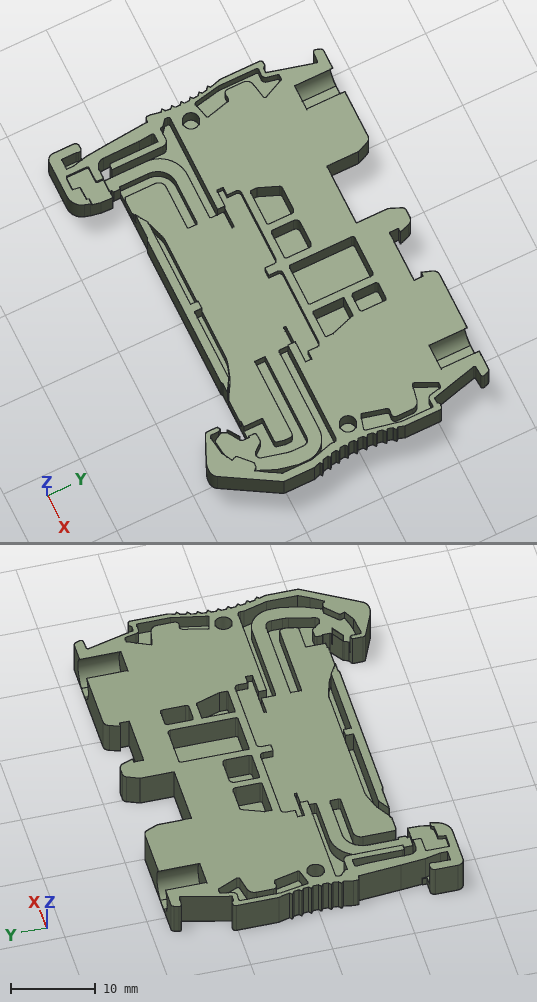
import cadquery as cq
import math


THICKNESS = 4.2
PLATE_TOP = 3.2
CHANNEL_FLOOR = 1.55
POCKET_FLOOR = 1.05
FOOT_FLOOR = 3.7
GRIP_POCKET_FLOOR = 2.55

TOP_Y = 29.1
FOOT_Y = -6.1
LEFT_X = -24.55
SIDE_X = 24.3
BASE_Y = 0.15

GRIP_MID_Y = 11.2
GRIP_RIGHT_X = 23.25
GRIP_LEFT_X = 23.45
GRIP_RADIUS = 17.6
TOOTH_PITCH = 1.2
TOOTH_WIDTH = 0.6
TOOTH_HEIGHT = 0.35
TOOTH_ROOT = 0.3

GROOVE_X = 18.07
GROOVE_LENGTH = 5.05
GROOVE_WIDTH = 3.2
GROOVE_FLOOR_WIDTH = 1.5
GROOVE_RADIUS = 2.4

PIN_X = 21.1
PIN_DIAMETER = 2.05

RECESS_TOP = 12.6
SHELF_Y = 10.1
CHANNEL_TOP = 9.15
ARM_EDGE = 8.0
SLIT_HEIGHT = 0.3
NOTCH_BOTTOM = 10.95

POST_RIGHT = -19.7
ARM_LEFT = -19.15
ARM_RIGHT = -17.7
FOOT_ROOT_Y = -1.2

BAR_HALF_FRONT = 9.85
BAR_SLANT = 0.25
BAR_BACK_Y = 1.07
GAP_BACK_Y = 2.05
PAD_SLANT = 0.2
OPEN_Y = -1.0


def outline(points):
    """Closed sketch through (x, y) corners; a third value rounds that corner with its radius."""
    stops = []
    count = len(points)
    for i, point in enumerate(points):
        corner = cq.Vector(point[0], point[1])
        radius = point[2] if len(point) > 2 else 0
        if not radius:
            stops.append((corner,))
            continue
        back = (cq.Vector(*points[i - 1][:2]) - corner).normalized()
        ahead = (cq.Vector(*points[(i + 1) % count][:2]) - corner).normalized()
        half_angle = back.getAngle(ahead) / 2
        setback = radius / math.tan(half_angle)
        bulge = radius / math.sin(half_angle) - radius
        middle = corner + (back + ahead).normalized() * bulge
        stops.append((corner + back * setback, middle, corner + ahead * setback))
    sketch = cq.Workplane("XY").moveTo(stops[0][-1].x, stops[0][-1].y)
    for stop in stops[1:] + stops[:1]:
        sketch = sketch.lineTo(stop[0].x, stop[0].y)
        if len(stop) == 3:
            sketch = sketch.threePointArc(stop[1].toTuple()[:2], stop[2].toTuple()[:2])
    return sketch.close()


def slab(points, bottom, top=THICKNESS):
    """Prism over an outline between two heights."""
    return outline(points).extrude(top - bottom).translate((0, 0, bottom))


def mirrored(points):
    """The same corners on the other side of X = 0."""
    return [(-point[0], *point[1:]) for point in reversed(points)]


def grip_hollow(side, middle_x):
    """Large cylinder whose flank leaves the hollow grip side."""
    center_x = middle_x + GRIP_RADIUS
    return cq.Workplane("XY").center(side * center_x, GRIP_MID_Y).circle(GRIP_RADIUS).extrude(THICKNESS)


def grip_teeth(side, middle_x, above, below):
    """Small ridges along a hollow grip side, `above` and `below` its middle and one on it."""
    half = TOOTH_WIDTH / 2
    teeth = cq.Workplane("XY")
    for step in range(-below, above + 1):
        offset = step * TOOTH_PITCH
        y = GRIP_MID_Y + offset
        x = middle_x + GRIP_RADIUS - math.sqrt(GRIP_RADIUS**2 - offset**2)
        root_x = x - TOOTH_ROOT
        tip_x = min(x + TOOTH_HEIGHT, SIDE_X)
        tooth = [(root_x, y - half), (x, y - half), (tip_x, y), (x, y + half), (root_x, y + half)]
        teeth = teeth.union(slab([(side * px, py) for px, py in tooth], 0))
    return teeth


upper_end = [
    (22.4, TOP_Y, 0.45),
    (22.8, 27.95, 0.3),
    (21.1, 27.85, 0.2),
    (22.65, 21.8),
    (23.3, 21.8),
    (23.6, 22.1),
    (SIDE_X, 22.05, 0.35),
]
top_notches = [
    (-9.75, TOP_Y, 0.75),
    (-9.0, 27.25),
    (-9.0, 23.1),
    (-1.07, 23.1),
    (-1.07, 27.25),
    (-0.3, TOP_Y, 0.6),
    (1.6, TOP_Y, 0.9),
    (2.25, 27.25),
    (1.7, 27.25),
    (1.7, 26.1),
    (8.35, 26.1),
    (8.35, 27.25),
    (7.8, 27.25),
    (8.45, TOP_Y, 0.9),
]
right_foot = [
    (SIDE_X, 1.2),
    (19.95, FOOT_Y, 1.2),
    (18.55, FOOT_Y, 1.95),
    (14.7, -4.4, 0.4),
    (14.7, -2.85),
    (15.25, -2.55),
    (15.55, -1.9, 0.4),
    (17.2, -0.8),
    (17.2, BASE_Y),
]
rail_face = [
    (BAR_HALF_FRONT + BAR_SLANT, BASE_Y),
    (BAR_HALF_FRONT, 0),
    (-BAR_HALF_FRONT, 0),
    (-BAR_HALF_FRONT - BAR_SLANT, BASE_Y),
]
left_foot = [
    (-17.4, BASE_Y),
    (-17.4, -0.75),
    (-17.7, -0.95),
    (-17.7, FOOT_ROOT_Y),
    (-16.65, FOOT_ROOT_Y),
    (-16.7, -2.75),
    (-16.95, -4.0),
    (-17.6, FOOT_Y, 1.95),
    (LEFT_X, FOOT_Y, 0.9),
    (LEFT_X, -2.0, 0.55),
    (-23.25, -2.0, 0.35),
    (-23.45, -2.75),
    (-23.45, -4.65),
    (-22.1, -4.65),
    (-22.1, -3.75),
    (-22.5, -1.85),
    (-22.8, 1.2),
    (-23.25, 6.55),
    (-23.9, 6.55, 0.3),
    (-23.9, 8.8),
    (-SIDE_X, 8.8),
]
silhouette = mirrored(upper_end) + top_notches + upper_end + right_foot + rail_face + left_foot

housing = slab(silhouette, 0)
housing = housing.cut(grip_hollow(1, GRIP_RIGHT_X)).cut(grip_hollow(-1, GRIP_LEFT_X))
housing = housing.union(grip_teeth(1, GRIP_RIGHT_X, 4, 4))
housing = housing.union(grip_teeth(-1, GRIP_LEFT_X, 3, 2))

arm_slot = [
    (-21.65, 6.55, 0.25),
    (-20.45, 6.55),
    (-20.45, BASE_Y, 0.25),
    (ARM_LEFT, BASE_Y),
    (ARM_LEFT, FOOT_ROOT_Y),
    (-21.4, FOOT_ROOT_Y, 1.07),
    (-21.5, 4.65),
]
housing = housing.cut(slab(arm_slot, 0))

curl_web = [(-23.85, -2.0), (-22.65, -2.0), (-22.65, -1.4), (-22.0, -1.4), (-22.0, -4.9), (-23.85, -4.9)]
housing = housing.union(slab(curl_web, 0, POCKET_FLOOR))

bar = outline([
    (-13.45, OPEN_Y),
    (-13.45, BASE_Y),
    (-11.9, BAR_BACK_Y),
    (-0.5, BAR_BACK_Y),
    (-0.5, GAP_BACK_Y),
    (0.55, GAP_BACK_Y),
    (0.55, BAR_BACK_Y),
    (9.75, BAR_BACK_Y),
    (11.3, BASE_Y),
    (11.3, OPEN_Y),
]).extrude(THICKNESS)

left_channel_wall = [
    (POST_RIGHT, 7.5, 0.7),
    (-21.85, 7.5),
    (-21.95, 7.9),
    (-22.65, 8.5, 0.15),
    (-22.65, CHANNEL_TOP, 0.25),
    (-9.75, CHANNEL_TOP),
    (-9.75, SHELF_Y),
]
right_channel_wall = [
    (9.15, SHELF_Y),
    (9.15, CHANNEL_TOP),
    (22.4, CHANNEL_TOP, 0.4),
    (22.4, 8.3),
    (23.25, 5.35),
    (23.25, 1.55),
    (22.5, 0.25),
    (21.55, -1.25),
]
hook_wall = [
    (14.9, -2.35),
    (15.3, -2.95),
    (15.3, -4.15, 0.3),
    (17.85, -3.8),
    (19.2, -3.1),
]

plate_recess = [
    (-10.9, RECESS_TOP, 0.5),
    (-10.9, NOTCH_BOTTOM),
    (-11.95, NOTCH_BOTTOM),
    (-11.95, SHELF_Y),
    *left_channel_wall[::-1],
    (POST_RIGHT, OPEN_Y),
    (ARM_LEFT, OPEN_Y),
    (ARM_LEFT, FOOT_ROOT_Y),
    (ARM_RIGHT, FOOT_ROOT_Y),
    (ARM_RIGHT, OPEN_Y),
    (17.05, OPEN_Y),
    *hook_wall,
    (18.95, -2.45, 0.2),
    (20.6, -0.9, 0.2),
    (21.2, -0.95),
    *right_channel_wall[::-1],
    (11.9, SHELF_Y),
    (11.9, NOTCH_BOTTOM),
    (10.85, NOTCH_BOTTOM),
    (10.85, RECESS_TOP, 0.5),
    (0.3, RECESS_TOP, 0.5),
    (0.3, NOTCH_BOTTOM),
    (-0.75, NOTCH_BOTTOM),
    (-0.75, RECESS_TOP, 0.5),
]
housing = housing.cut(slab(plate_recess, PLATE_TOP).cut(bar))

left_outer_channel = [
    (-7.3, SHELF_Y),
    (-7.3, SHELF_Y - SLIT_HEIGHT),
    (-9.5, SHELF_Y - SLIT_HEIGHT),
    (-9.5, ARM_EDGE, 0.2),
    (ARM_LEFT, ARM_EDGE, 3.65),
    (ARM_LEFT, OPEN_Y),
    (POST_RIGHT, OPEN_Y),
    *left_channel_wall,
]
left_inner_channel = [
    (ARM_RIGHT, BASE_Y),
    (ARM_RIGHT, 6.4, 2.45),
    (-9.5, 6.4, 0.2),
    (-9.5, 5.1, 0.2),
    (-16.2, 5.1, 1.0),
    (-16.2, BASE_Y),
]
right_outer_channel = [
    (6.6, SHELF_Y),
    *right_channel_wall,
    (21.35, -0.8),
    (22.3, 1.35),
    (22.8, 3.9),
    (22.8, ARM_EDGE, 2.95),
    (8.95, ARM_EDGE, 0.2),
    (8.95, SHELF_Y - SLIT_HEIGHT),
    (6.6, SHELF_Y - SLIT_HEIGHT),
]
right_inner_channel = [
    (8.95, 6.25),
    (20.95, 6.25, 0.9),
    (20.95, 3.65, 2.95),
    (20.05, -0.1, 0.5),
    (19.25, -0.1, 0.5),
    (18.25, 1.1, 0.4),
    (17.05, 1.07, 0.25),
    (17.05, OPEN_Y),
    (15.75, OPEN_Y),
    (15.75, 2.6, 0.15),
    (19.1, 2.6, 0.3),
    (19.35, 3.75),
    (19.35, 4.9, 0.4),
    (8.95, 4.9),
]
hook_gap = [
    *hook_wall,
    (17.6, -3.5),
    (15.85, -3.7, 0.4),
    (15.2, -2.55),
]
rail_gap = [
    (-13.8, OPEN_Y),
    (-13.8, BASE_Y),
    (-11.8, 1.3),
    (-9.57, GAP_BACK_Y, 2.95),
    (7.43, GAP_BACK_Y, 2.95),
    (9.65, 1.3),
    (11.65, BASE_Y),
    (11.65, OPEN_Y),
]
for channel in (left_outer_channel, left_inner_channel, right_outer_channel, right_inner_channel, hook_gap):
    housing = housing.cut(slab(channel, CHANNEL_FLOOR))
housing = housing.cut(slab(rail_gap, CHANNEL_FLOOR).cut(bar))

for left, right in ((-16.1, -13.85), (11.7, 15.05)):
    pad = [(left, BASE_Y), (left + PAD_SLANT, 0), (right - PAD_SLANT, 0), (right, BASE_Y)]
    housing = housing.union(slab(pad, CHANNEL_FLOOR, PLATE_TOP))

foot_recess = [
    (ARM_LEFT, FOOT_ROOT_Y),
    (ARM_LEFT, -2.2, 0.25),
    (-21.3, -2.2, 0.2),
    (-21.3, -5.15, 0.15),
    (-19.5, -5.15),
    (-19.35, -4.2),
    (-17.7, -4.15),
    (-17.55, -3.85),
    (-16.1, -3.85),
    (-16.1, FOOT_ROOT_Y),
]
housing = housing.cut(slab(foot_recess, FOOT_FLOOR))

square_pockets = [
    [(-9.1, 17.2, 0.35), (-5.45, 17.2, 0.45), (-5.45, 13.6, 0.25), (-10.15, 13.6, 0.15), (-10.15, 14.5)],
    [(-4.6, 17.2, 0.6), (-0.75, 17.2, 0.5), (-0.75, 13.6, 0.3), (-4.6, 13.6, 0.3)],
    [(0.25, 22.15, 0.3), (5.65, 22.15, 0.4), (5.65, 13.6, 0.25), (0.25, 13.6, 0.25)],
    [(6.65, 22.15, 0.35), (9.15, 22.15, 0.35), (9.15, 18.65, 0.35), (6.65, 18.65, 0.35)],
    [(6.65, 17.7), (9.15, 17.7), (10.15, 14.6), (10.15, 13.6, 0.15), (6.65, 13.6, 0.15)],
]
for pocket in square_pockets:
    housing = housing.cut(slab(pocket, POCKET_FLOOR))


def grip_pocket(elbow_y, foot_x):
    """Pocket behind the right grip; its outer wall leans in from `elbow_y` down to `foot_x`."""
    return [
        (21.8, 23.05, 0.2),
        (21.1, 23.05, 0.1),
        (19.8, 20.2, 0.25),
        (22.75, 19.65, 1.0),
        (22.75, 16.2, 0.5),
        (21.45, 16.4, 0.4),
        (20.6, 13.1, 0.2),
        (foot_x, 12.5, 0.25),
        (23.6, elbow_y),
        (23.6, 21.2, 0.25),
        (22.2, 21.1, 0.6),
    ]


for end_pocket in (grip_pocket(17.0, 22.65), mirrored(grip_pocket(16.0, 22.9))):
    housing = housing.cut(slab(end_pocket, GRIP_POCKET_FLOOR))

pins = cq.Workplane("XY").pushPoints([(-PIN_X, GRIP_MID_Y), (PIN_X, GRIP_MID_Y)])
pins = pins.circle(PIN_DIAMETER / 2).extrude(THICKNESS - CHANNEL_FLOOR)
housing = housing.cut(pins.translate((0, 0, CHANNEL_FLOOR)))


def marker_groove(center_x):
    """Bore along Y that is open at the top surface and has a narrow flat floor."""
    axis_z = THICKNESS - math.sqrt(GROOVE_RADIUS**2 - (GROOVE_WIDTH / 2) ** 2)
    floor_z = axis_z - math.sqrt(GROOVE_RADIUS**2 - (GROOVE_FLOOR_WIDTH / 2) ** 2)
    bore = cq.Workplane("XZ").center(center_x, axis_z).circle(GROOVE_RADIUS).extrude(GROOVE_LENGTH)
    size = 2 * GROOVE_RADIUS
    height = THICKNESS - floor_z
    clip = cq.Workplane("XY").box(size, 2 * GROOVE_LENGTH, height, centered=(True, True, False))
    groove = bore.intersect(clip.translate((center_x, 0, floor_z)))
    return groove.translate((0, TOP_Y, 0))


for groove_x in (-GROOVE_X, GROOVE_X):
    housing = housing.cut(marker_groove(groove_x))

result = housing